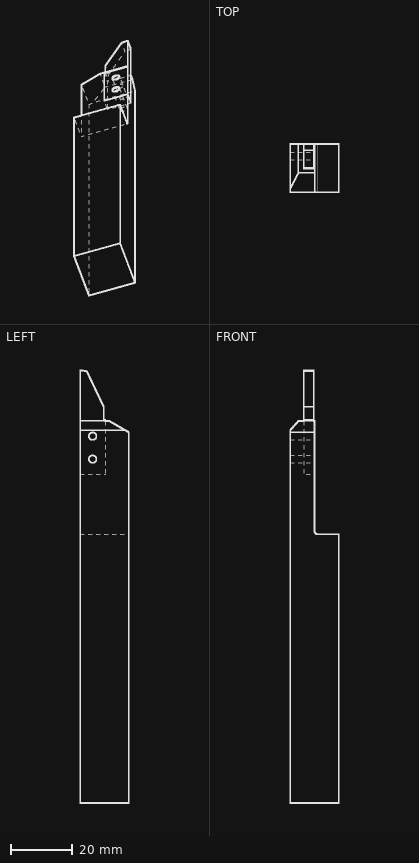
import cadquery as cq
import math

shank_size = 15.88
overall_height = 141.6
holder_height = 125.0

neck_thickness = 8.0
shoulder_height = 88.0
shoulder_fillet = 0.8

side_bevel_run = 2.7
side_bevel_drop = 3.0
front_bevel_run = 6.4
front_bevel_angle = 30
front_bevel_drop = front_bevel_run * math.tan(math.radians(front_bevel_angle))

blade_thickness = 3.4
blade_left = 4.35
blade_width = 7.75
blade_tip_width = 2.15
blade_tip_angle = 8
blade_tip_drop = blade_tip_width * math.tan(math.radians(blade_tip_angle))
blade_bevel_angle = 25.5
blade_bevel_height = (blade_width - blade_tip_width) / math.tan(math.radians(blade_bevel_angle))
blade_root_step = 0.4

pin_diameter = 2.45
pin_from_back = 4.05
first_pin_depth = 5.0
pin_spacing = 7.5
pin_count = 2

blade_seat_depth = 2 * first_pin_depth + (pin_count - 1) * pin_spacing
blade_bottom = holder_height - blade_seat_depth


def make_blade():
    """Flat blade with a tapered tip and a small step at its root."""
    front = shank_size - blade_width
    return (
        cq.Workplane("YZ", origin=(blade_left, 0, 0))
        .moveTo(shank_size, blade_bottom)
        .lineTo(shank_size, overall_height)
        .lineTo(shank_size - blade_tip_width, overall_height - blade_tip_drop)
        .lineTo(front, overall_height - blade_tip_drop - blade_bevel_height)
        .lineTo(front, holder_height + blade_root_step)
        .lineTo(front - blade_root_step, holder_height + blade_root_step)
        .lineTo(front - blade_root_step, blade_bottom)
        .close()
        .extrude(blade_thickness)
    )


def make_pins():
    """Cross pins along X, flush with both sides of the neck, one below the other."""
    pins = []
    for i in range(pin_count):
        height = holder_height - first_pin_depth - i * pin_spacing
        pin = (
            cq.Workplane("YZ")
            .center(shank_size - pin_from_back, height)
            .circle(pin_diameter / 2)
            .extrude(neck_thickness)
        )
        pins.append(pin)
    return pins


def make_holder_blank():
    """Square shank with a thinned, bevelled neck above a filleted shoulder."""
    side_profile = (
        cq.Workplane("XZ")
        .lineTo(shank_size, 0)
        .lineTo(shank_size, shoulder_height)
        .lineTo(neck_thickness + shoulder_fillet, shoulder_height)
        .radiusArc((neck_thickness, shoulder_height + shoulder_fillet), shoulder_fillet)
        .lineTo(neck_thickness, holder_height)
        .lineTo(side_bevel_run, holder_height)
        .lineTo(0, holder_height - side_bevel_drop)
        .close()
        .extrude(-shank_size)
    )
    front_bevel = (
        cq.Workplane("YZ")
        .moveTo(0, holder_height - front_bevel_drop)
        .lineTo(front_bevel_run, holder_height)
        .lineTo(0, holder_height)
        .close()
        .extrude(shank_size)
    )
    return side_profile.cut(front_bevel)


pins = make_pins()

blade = make_blade()
holder = make_holder_blank().cut(blade)
for pin in pins:
    holder = holder.cut(pin)
    blade = blade.cut(pin)

result = cq.Compound.makeCompound([holder.val(), blade.val(), *[pin.val() for pin in pins]])